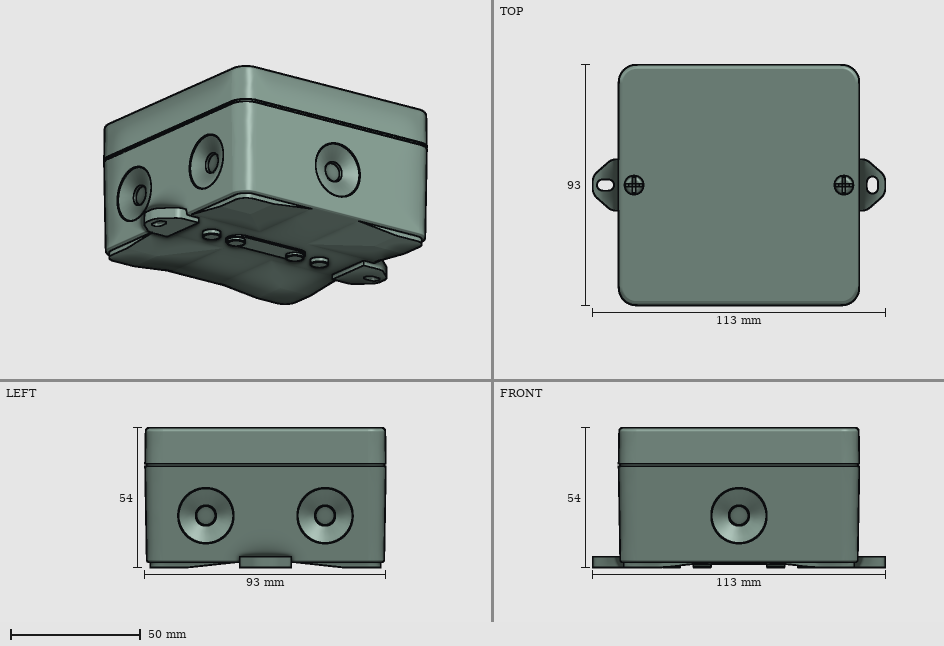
import cadquery as cq
import math

box_size = 93.0
corner_radius = 7.0
total_height = 54.0
draft_angle = 1.0
foot_height = 2.0

base_shoulder_z = 39.0
lid_bottom_z = 40.0
lip_inset = 0.5
lid_edge_fillet = 1.5
base_edge_fillet = 1.0

foot_plate_inset = 2.0
relief_half_width = 29.9
relief_floor_half_width = 11.4

boss_length = 36.0
boss_width = 10.0
boss_bottom_z = 1.3
button_diameter = 7.0
button_edge_chamfer = 0.3
inner_button_x = 14.2
outer_button_x = 26.1

tab_tip_x = 56.5
tab_root_x = 40.0
tab_half_width = 10.0
tab_height = 4.2
tab_shoulder_x = 49.1
tab_tip_half_width = 3.5
tab_fillet = 5.0
tab_slot_x = 51.5
tab_slot_length = 6.5
tab_slot_width = 4.2

entry_z = 20.0
entry_spacing = 46.0
entry_rim_diameter = 21.6
entry_cone_diameter = 21.0
entry_well_diameter = 8.0
entry_floor_diameter = 7.2
entry_rim_depth = 0.3
entry_cone_depth = 2.7
entry_floor_depth = 3.7
entry_overrun = 1.0

screw_x = 40.5
screw_diameter = 7.4
screw_recess_depth = 1.7
screw_head_height = 3.0
screw_dome_radius = 1.7
drive_width = 1.2
drive_slot_depth = 0.8
cross_depth = 2.0
cross_reach_x = 2.0
cross_reach_y = 3.0


def rounded_block(size, radius, bottom_z, height, taper=0.0):
    """Square block with rounded corners; a positive taper narrows it along the extrusion."""
    outline = cq.Sketch().rect(size, size).vertices().fillet(radius)
    return cq.Workplane("XY", origin=(0, 0, bottom_z)).placeSketch(outline).extrude(height, taper=taper)


def entry_recess():
    """Cutter for one cable entry, opening at the origin and going inward along +X."""
    profile = [
        (-entry_overrun, 0),
        (-entry_overrun, entry_rim_diameter / 2),
        (0, entry_rim_diameter / 2),
        (entry_rim_depth, entry_cone_diameter / 2),
        (entry_cone_depth, entry_well_diameter / 2),
        (entry_floor_depth, entry_floor_diameter / 2),
        (entry_floor_depth, 0),
    ]
    return cq.Workplane("XZ").polyline(profile).close().revolve(360, (0, 0, 0), (1, 0, 0))


def cut_entries(base):
    """Two entries in each X wall and one in each Y wall, square to the drafted wall."""
    wall = box_size / 2 - (base_shoulder_z - entry_z) * math.tan(math.radians(draft_angle))
    for turn, offsets in ((0, (-entry_spacing / 2, entry_spacing / 2)), (90, (0,))):
        for offset in offsets:
            recess = entry_recess().rotate((0, 0, 0), (0, 1, 0), -draft_angle)
            recess = recess.translate((-wall, offset, entry_z))
            for half_turn in (0, 180):
                base = base.cut(recess.rotate((0, 0, 0), (0, 0, 1), turn + half_turn))
    return base


def make_feet():
    """Foot plate cut by a flat-topped, slope-sided channel in each direction."""
    plate_size = box_size - 2 * foot_plate_inset
    feet = rounded_block(plate_size, corner_radius - foot_plate_inset, 0, foot_height)
    channel = (
        cq.Workplane("XZ")
        .polyline([
            (-relief_half_width, 0),
            (-relief_floor_half_width, foot_height),
            (relief_floor_half_width, foot_height),
            (relief_half_width, 0),
        ])
        .close()
        .extrude(box_size / 2, both=True)
    )
    return feet.cut(channel).cut(channel.rotate((0, 0, 0), (0, 0, 1), 90))


def make_underside_supports():
    boss = (
        cq.Workplane("XY", origin=(0, 0, boss_bottom_z))
        .slot2D(boss_length, boss_width)
        .extrude(foot_height - boss_bottom_z)
    )
    positions = [(side * x, 0) for side in (-1, 1) for x in (inner_button_x, outer_button_x)]
    buttons = (
        cq.Workplane("XY")
        .pushPoints(positions)
        .circle(button_diameter / 2)
        .extrude(foot_height)
        .faces("<Z")
        .chamfer(button_edge_chamfer)
    )
    return boss.union(buttons)


def make_tab(slot_angle):
    """Mounting tab on the +X side, with its slot turned by slot_angle."""
    return (
        cq.Workplane("XY")
        .polyline([
            (tab_root_x, -tab_half_width),
            (tab_shoulder_x, -tab_half_width),
            (tab_tip_x, -tab_tip_half_width),
            (tab_tip_x, tab_tip_half_width),
            (tab_shoulder_x, tab_half_width),
            (tab_root_x, tab_half_width),
        ])
        .close()
        .extrude(tab_height)
        .edges("|Z and (not <X)")
        .fillet(tab_fillet)
        .cut(
            cq.Workplane("XY")
            .center(tab_slot_x, 0)
            .slot2D(tab_slot_length, tab_slot_width, slot_angle)
            .extrude(tab_height)
        )
    )


def make_base():
    body_height = base_shoulder_z - foot_height
    body = rounded_block(box_size, corner_radius, base_shoulder_z, -body_height, draft_angle)
    body = body.faces("<Z").edges().fillet(base_edge_fillet)
    lip = rounded_block(
        box_size - 2 * lip_inset,
        corner_radius - lip_inset,
        base_shoulder_z,
        lid_bottom_z - base_shoulder_z,
    )
    base = cut_entries(body.union(lip))
    base = base.union(make_feet()).union(make_underside_supports())
    base = base.union(make_tab(90))
    return base.union(make_tab(0).rotate((0, 0, 0), (0, 0, 1), 180))


def make_lid():
    lid = rounded_block(box_size, corner_radius, lid_bottom_z, total_height - lid_bottom_z, draft_angle)
    lid = lid.faces(">Z").edges().fillet(lid_edge_fillet)
    pocket_depth = screw_recess_depth + screw_head_height
    pockets = (
        cq.Workplane("XY", origin=(0, 0, total_height - pocket_depth))
        .pushPoints([(-screw_x, 0), (screw_x, 0)])
        .circle(screw_diameter / 2)
        .extrude(pocket_depth)
    )
    return lid.cut(pockets)


def drive_slot(reach):
    """Cutter below the origin: a full-width slot along X, deepened to the centre within reach."""
    slot = cq.Workplane("XY").rect(screw_diameter, drive_width).extrude(-drive_slot_depth)
    sloped_arms = (
        cq.Workplane("XZ")
        .polyline([
            (-reach, -drive_slot_depth),
            (-drive_width / 2, -cross_depth),
            (drive_width / 2, -cross_depth),
            (reach, -drive_slot_depth),
        ])
        .close()
        .extrude(drive_width / 2, both=True)
    )
    return slot.union(sloped_arms)


def make_screw(x):
    """Screw head with a rounded rim and a cross drive."""
    head = (
        cq.Workplane("XY")
        .circle(screw_diameter / 2)
        .extrude(-screw_head_height)
        .faces(">Z")
        .edges()
        .fillet(screw_dome_radius)
        .cut(drive_slot(cross_reach_x))
        .cut(drive_slot(cross_reach_y).rotate((0, 0, 0), (0, 0, 1), 90))
    )
    return head.translate((x, 0, total_height - screw_recess_depth))


base = make_base()
lid = make_lid()
screws = [make_screw(x) for x in (-screw_x, screw_x)]

result = cq.Compound.makeCompound([base.val(), lid.val(), *[screw.val() for screw in screws]])